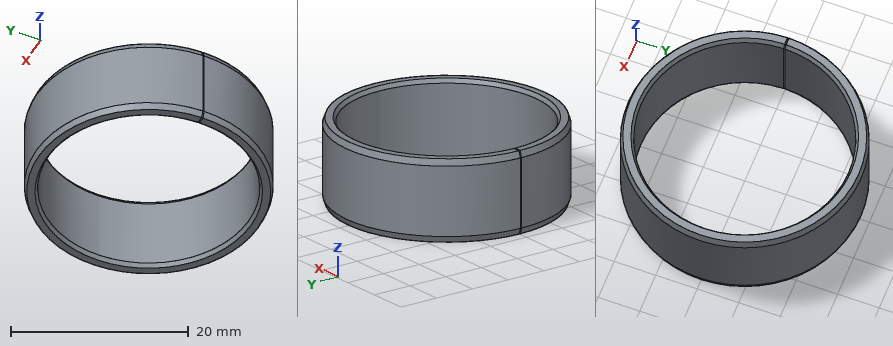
import cadquery as cq
import math

outer_diameter = 28.0
wall = 1.5
height = 10.0
outer_chamfer_height = 0.78
outer_chamfer_angle = 20.0
inner_chamfer_depth = 0.3
inner_chamfer_height = 0.5
split_width = 0.17

outer_radius = outer_diameter / 2
inner_radius = outer_radius - wall
outer_chamfer_depth = outer_chamfer_height * math.tan(math.radians(outer_chamfer_angle))


def chamfered_ring():
    """Revolve the wall section, with lead-in chamfers at both ends."""
    half = height / 2
    section = [
        (inner_radius + inner_chamfer_depth, -half),
        (outer_radius - outer_chamfer_depth, -half),
        (outer_radius, -half + outer_chamfer_height),
        (outer_radius, half - outer_chamfer_height),
        (outer_radius - outer_chamfer_depth, half),
        (inner_radius + inner_chamfer_depth, half),
        (inner_radius, half - inner_chamfer_height),
        (inner_radius, -half + inner_chamfer_height),
    ]
    return cq.Workplane("XZ").polyline(section).close().revolve(360, (0, 0), (0, 1))


def split_cutter():
    """Narrow slot through the wall on the -X side."""
    return cq.Workplane("XY").box(outer_radius, split_width, height).translate((-outer_radius, 0, 0))


result = chamfered_ring().cut(split_cutter())